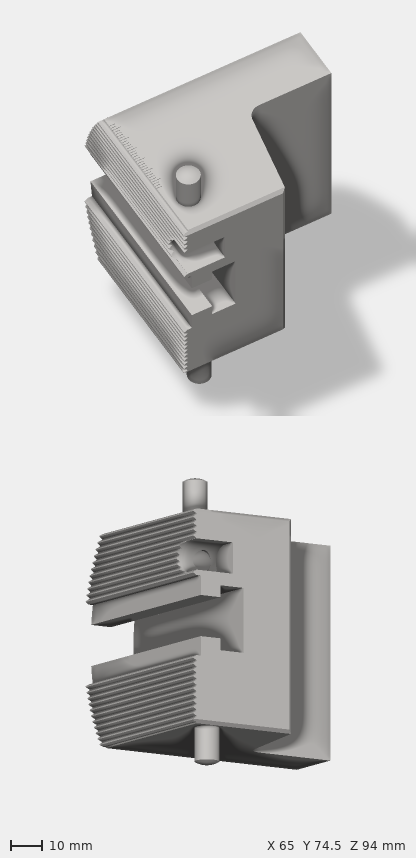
import cadquery as cq
import math


length_x = 65.0
length_y = 74.5
height = 69.75
half_height = height / 2
round_side_radius = 64.0
arm_width = 30.1
head_depth = 37.6
head_slope = 10.0
inner_corner_radius = 5.0
outer_chamfer = 1.1

slot_half_width = 6.7
undercut_half_width = 10.5
lip_front = 2.8
lip_back = 10.3
slot_floor = 19.0

teeth_per_side = 11
teeth_span = 20.0
tooth_pitch = teeth_span / (teeth_per_side - 1)
tooth_depth = 1.2
flank_angle = 30
flank_slope = math.tan(math.radians(flank_angle))
flank_rise = tooth_depth * flank_slope
flat_width = (tooth_pitch - 2 * flank_rise) / 2
teeth_start = 13.0
land_drop = 0.4
land_back = 1.8
land_bevel = 0.3

pocket_radius = 5.1
pocket_center_inset = 5.0
pocket_center_x = length_x - pocket_center_inset
pocket_center_z = 19.8
pocket_depth = 15.0
pocket_left = pocket_center_x - pocket_radius

screw_radius = 3.4
screw_y = 9.7
screw_length = 12.0
socket_across_flats = 4.0
socket_depth = 4.0
hexagon_sides = 6

pin_diameter = 8.0
pin_radius = pin_diameter / 2
pin_y = 9.0
top_pin_x = 52.0
bottom_pin_x = 58.9
pin_end = 47.0
pin_dome_height = 1.1
pin_hole_depth = 9.0

tick_zero_x = 15.8
first_tick = -2
last_tick = 28
tick_span = 30.0
tick_pitch = tick_span / (last_tick - first_tick)
ticks_per_division = 5
short_tick_end = 4.1
long_tick_end = 5.2
tick_width = 0.2
tick_depth = 0.2


def upper_side_points():
    """(Y, Z) points of the upper half section, from the slot floor to the back face."""
    points = [
        (slot_floor, undercut_half_width),
        (lip_back, undercut_half_width),
        (lip_back, slot_half_width),
        (lip_front, slot_half_width),
        (lip_front, teeth_start),
    ]
    for tooth in range(teeth_per_side):
        root_z = teeth_start + tooth * tooth_pitch
        tip_z = root_z + flank_rise
        points += [(tooth_depth, root_z), (0, tip_z), (0, tip_z + flat_width)]
        if tooth < teeth_per_side - 1:
            points.append((tooth_depth, tip_z + flat_width + flank_rise))
    land_z = half_height - land_drop
    last_tip_z = points[-1][1]
    points += [
        ((land_z - last_tip_z) / flank_slope, land_z),
        (land_back, land_z),
        (land_back + land_bevel, half_height),
        (length_y, half_height),
    ]
    return points


def make_block():
    """Toothed and slotted section along X, trimmed to the L-shaped plan and the rounded side."""
    upper = upper_side_points()
    lower = [(y, -z) for y, z in reversed(upper)]
    section = cq.Workplane("YZ").polyline(upper + lower).close().extrude(length_x)

    corner_y = head_depth + (length_x - arm_width) * math.tan(math.radians(head_slope))
    plan = (
        cq.Workplane("XY", origin=(0, 0, -half_height))
        .polyline([
            (0, 0), (length_x, 0), (length_x, head_depth),
            (arm_width, corner_y), (arm_width, length_y), (0, length_y),
        ])
        .close()
        .extrude(height)
        .edges(cq.selectors.NearestToPointSelector((arm_width, corner_y, 0)))
        .fillet(inner_corner_radius)
        .faces(">X").edges("|Y or >Y")
        .chamfer(outer_chamfer)
    )
    round_side = (
        cq.Workplane("XZ").center(round_side_radius, 0)
        .circle(round_side_radius).extrude(-length_y)
    )
    return section.intersect(plan).intersect(round_side)


def make_pocket():
    """Round-ended pocket cut from the toothed face and out through the +X face."""
    round_end = (
        cq.Workplane("XZ").center(pocket_center_x, pocket_center_z)
        .circle(pocket_radius).extrude(-pocket_depth)
    )
    open_end = cq.Workplane("XY").box(
        pocket_center_inset, pocket_depth, 2 * pocket_radius, centered=(False, False, True)
    ).translate((pocket_center_x, 0, pocket_center_z))
    return round_end.union(open_end)


def make_screw_hole():
    """Hole along X from the rounded side into the pocket."""
    return (
        cq.Workplane("YZ").center(screw_y, pocket_center_z)
        .circle(screw_radius).extrude(pocket_center_x)
    )


def make_ticks():
    """Graduation grooves that open onto the beveled front edge of the top face."""
    ticks = cq.Workplane("XY")
    for index in range(first_tick, last_tick + 1):
        end_y = long_tick_end if index % ticks_per_division == 0 else short_tick_end
        groove = cq.Workplane("XY").box(tick_width, end_y, tick_depth, centered=(True, False, False))
        x = tick_zero_x + index * tick_pitch
        ticks = ticks.add(groove.translate((x, 0, half_height - tick_depth)))
    return ticks.combine()


def make_pin(x, side):
    """Domed dowel pin; side is +1 for the top face and -1 for the bottom face."""
    inner_end_z = half_height - pin_hole_depth
    shoulder_z = pin_end - pin_dome_height
    dome_radius = (pin_radius**2 + pin_dome_height**2) / (2 * pin_dome_height)
    mid_angle = math.asin(pin_radius / dome_radius) / 2
    dome_middle = (
        dome_radius * math.sin(mid_angle),
        pin_end - dome_radius * (1 - math.cos(mid_angle)),
    )
    pin = (
        cq.Workplane("XZ")
        .moveTo(0, inner_end_z)
        .lineTo(pin_radius, inner_end_z)
        .lineTo(pin_radius, shoulder_z)
        .threePointArc(dome_middle, (0, pin_end))
        .close()
        .revolve(360, (0, 0), (0, 1))
    )
    if side < 0:
        pin = pin.mirror("XY")
    return pin.translate((x, pin_y, 0))


def make_set_screw():
    """Headless screw with a hexagon socket facing -X, its tip level with the pocket's end."""
    head_x = pocket_left - screw_length
    half_side_angle = 180 / hexagon_sides
    socket_diameter = socket_across_flats / math.cos(math.radians(half_side_angle))
    body = cq.Workplane("YZ").circle(screw_radius).extrude(screw_length)
    socket = cq.Workplane("YZ").polygon(hexagon_sides, socket_diameter).extrude(socket_depth)
    socket = socket.rotate((0, 0, 0), (1, 0, 0), half_side_angle)
    return body.cut(socket).translate((head_x, screw_y, pocket_center_z))


pins = [make_pin(x, side) for x, side in ((top_pin_x, 1), (bottom_pin_x, -1))]
set_screw = make_set_screw()

jaw = make_block().cut(make_pocket()).cut(make_screw_hole()).cut(make_ticks())
for pin in pins:
    jaw = jaw.cut(pin)

result = cq.Compound.makeCompound([jaw.val(), *[pin.val() for pin in pins], set_screw.val()])